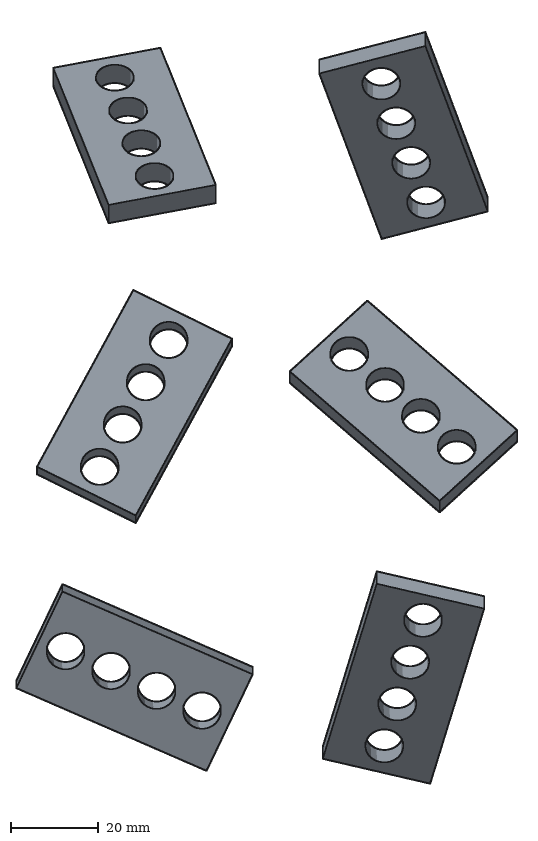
import cadquery as cq

length = 47.75
width = 25.4
thickness = 5.75

hole_count = 4
hole_diameter = 8.65
hole_pitch = 11.4
first_hole_from_end = 6.9

plate = cq.Workplane("XY").box(length, width, thickness)

first_hole_x = first_hole_from_end - length / 2
hole_centers = [(first_hole_x + i * hole_pitch, 0) for i in range(hole_count)]

result = plate.faces(">Z").workplane().pushPoints(hole_centers).hole(hole_diameter)